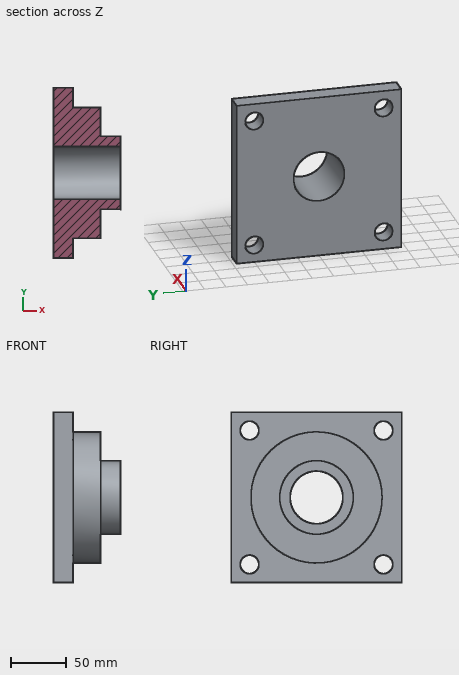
import cadquery as cq

plate_side = 152.88
plate_thickness = 17.64
shoulder_diameter = 117.6
shoulder_length = 24.7
overall_length = 60.21
hub_diameter = 66.0
bore_diameter = 47.04
bolt_hole_diameter = 16.46
bolt_spacing = 120.0

hub_length = overall_length - plate_thickness - shoulder_length


def make_body():
    """Square plate in the YZ plane with a stepped round boss on its +X face."""
    plate = cq.Workplane("YZ").rect(plate_side, plate_side).extrude(plate_thickness)
    plate_and_shoulder = plate.faces(">X").workplane().circle(shoulder_diameter / 2).extrude(shoulder_length)
    return plate_and_shoulder.faces(">X").workplane().circle(hub_diameter / 2).extrude(hub_length)


def cut_bore(body):
    """Central bore through the plate and the boss."""
    bore = cq.Workplane("YZ").circle(bore_diameter / 2).extrude(overall_length)
    return body.cut(bore)


def cut_bolt_holes(body):
    """One through hole near each corner of the plate."""
    holes = (
        cq.Workplane("YZ")
        .rect(bolt_spacing, bolt_spacing, forConstruction=True)
        .vertices()
        .circle(bolt_hole_diameter / 2)
        .extrude(plate_thickness)
    )
    return body.cut(holes)


result = cut_bolt_holes(cut_bore(make_body()))